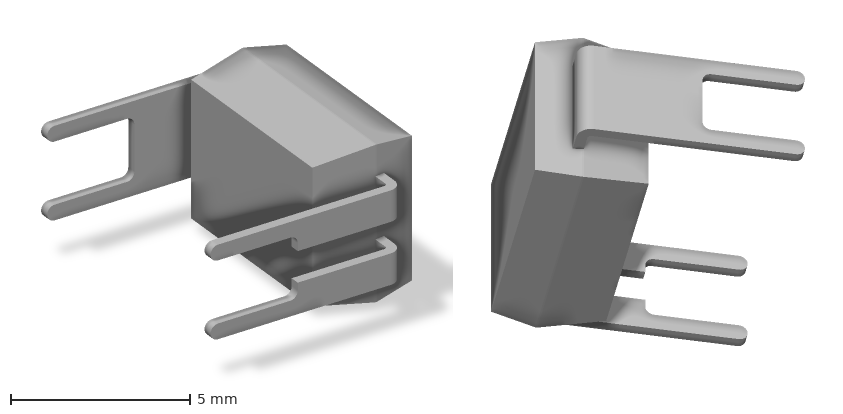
import cadquery as cq

overall_width = 8.6
overall_depth = 7.45
body_height = 5.0

body_width = 6.76
body_depth = 3.25
back_face_width = 6.36
back_face_height = 4.59
front_face_width = 6.15
front_face_height = 4.4
band_depth = 0.05
band_front_offset = 1.35

lead_thickness = 0.31
lead_height = 3.0
prong_height = lead_height / 6
bend_outer_radius = 0.41
bend_inner_radius = bend_outer_radius - lead_thickness
prong_length = 2.91
slot_height = lead_height - 2 * prong_height
slot_corner_radius = prong_height / 2
split_height = lead_height / 3
lead_embed = 0.26

body_back_y = overall_depth / 2
body_front_y = body_back_y - body_depth
band_front_y = body_back_y - band_front_offset
band_back_y = band_front_y + band_depth
lead_front_y = band_front_y
lead_back_y = lead_front_y + lead_thickness
lead_tip_y = -overall_depth / 2
slot_root_y = lead_tip_y + prong_length


def rectangle_at(y, width, height):
    """Closed rectangular wire in the XZ plane at the given Y."""
    corners = [
        cq.Vector(side * width / 2, y, end * height / 2)
        for side, end in ((-1, -1), (1, -1), (1, 1), (-1, 1))
    ]
    return cq.Wire.makePolygon(corners, close=True)


def frustum(y_start, size_start, y_end, size_end):
    """Tapered block between two rectangles facing along Y."""
    start = rectangle_at(y_start, *size_start)
    end = rectangle_at(y_end, *size_end)
    return cq.Workplane(obj=cq.Solid.makeLoft([start, end], True))


def body():
    band_size = (body_width, body_height)
    back = frustum(band_back_y, band_size, body_back_y, (back_face_width, back_face_height))
    front = frustum(body_front_y, (front_face_width, front_face_height), band_front_y, band_size)
    band = (
        cq.Workplane("XY")
        .box(body_width, band_depth, body_height)
        .translate((0, (band_front_y + band_back_y) / 2, 0))
    )
    return back.union(band).union(front)


def bent_strip():
    """Left lead before cutting: an L-bent strip of full lead height."""
    outer_x = -overall_width / 2
    buried_x = -body_width / 2 + lead_embed
    strip = (
        cq.Workplane("XY")
        .workplane(offset=-lead_height / 2)
        .moveTo(buried_x, lead_back_y)
        .lineTo(outer_x, lead_back_y)
        .lineTo(outer_x, lead_tip_y)
        .lineTo(outer_x + lead_thickness, lead_tip_y)
        .lineTo(outer_x + lead_thickness, lead_front_y)
        .lineTo(buried_x, lead_front_y)
        .close()
        .extrude(lead_height)
    )
    outer_corner = cq.NearestToPointSelector((outer_x, lead_back_y, 0))
    inner_corner = cq.NearestToPointSelector((outer_x + lead_thickness, lead_front_y, 0))
    strip = strip.edges("|Z").edges(outer_corner).fillet(bend_outer_radius)
    return strip.edges("|Z").edges(inner_corner).fillet(bend_inner_radius)


def fork_blank():
    """Two-pronged outline seen along X, extruded across the left half of the part."""
    edge_z = lead_height / 2
    slot_z = slot_height / 2
    tip_radius = prong_height / 2
    tip_centre_z = edge_z - tip_radius
    tip_start_y = lead_tip_y + tip_radius
    blank = (
        cq.Workplane("YZ")
        .moveTo(lead_back_y, edge_z)
        .lineTo(tip_start_y, edge_z)
        .threePointArc((lead_tip_y, tip_centre_z), (tip_start_y, slot_z))
        .lineTo(slot_root_y, slot_z)
        .lineTo(slot_root_y, -slot_z)
        .lineTo(tip_start_y, -slot_z)
        .threePointArc((lead_tip_y, -tip_centre_z), (tip_start_y, -edge_z))
        .lineTo(lead_back_y, -edge_z)
        .close()
        .extrude(-overall_width / 2)
    )
    for z in (slot_z, -slot_z):
        slot_corner = cq.NearestToPointSelector((-overall_width / 4, slot_root_y, z))
        blank = blank.edges("|X").edges(slot_corner).fillet(slot_corner_radius)
    return blank


def forked_lead():
    """Left lead with a rounded slot between two round-tipped prongs."""
    return bent_strip().intersect(fork_blank())


def split_lead():
    """Right lead: the mirrored fork, divided in two along its full length."""
    gap = cq.Workplane("XY").box(overall_width, overall_depth, split_height)
    return forked_lead().mirror("YZ").cut(gap)


result = body().union(forked_lead()).union(split_lead())